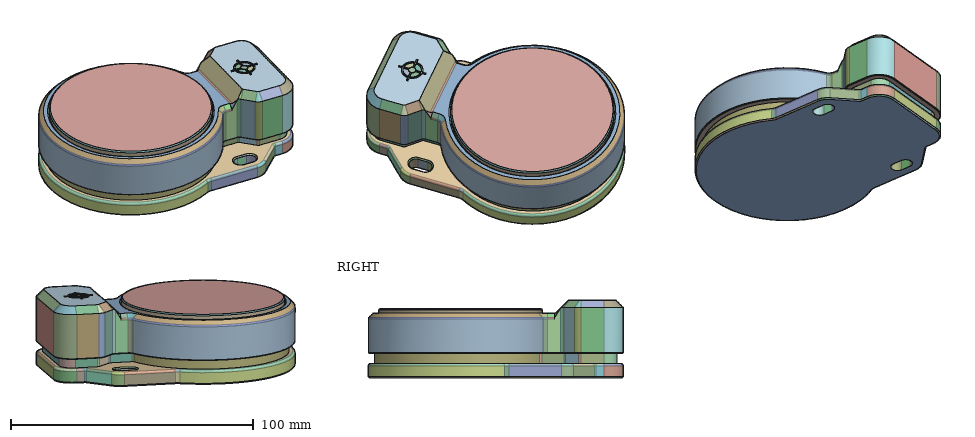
import cadquery as cq
import math

CORNER_TANGENT = math.tan(math.radians(45 / 2))
REACH = 0.1
FAR = 84.0

DRUM_R = 38.0
TOTAL_LENGTH = 105.0
REAR_Y = TOTAL_LENGTH - DRUM_R
HEAD_HALF_W = 22.0
HEAD_CORNER_R = 8.0
HEAD_SHOULDER_Y = 48.0
HEAD_SHOULDER_R = 4.0
HEAD_CHAMFER = 3.0
HEAD_TOP_FRONT_Y = 44.4
NECK_HALF_W = 16.0
NECK_TOP_Y = HEAD_SHOULDER_Y - (HEAD_HALF_W - NECK_HALF_W)
NECK_R = 2.0

BASE_TOP = 6.0
HOUSING_BOTTOM = 10.1
DRUM_TOP = 26.7
DISC_TOP = 28.6
HEAD_TOP = 32.0

DRUM_CHAMFER = 2.0
BLEND_R = 1.0
RAMP_FOOT_Y = HEAD_TOP_FRONT_Y - (HEAD_TOP - DRUM_TOP)
RAMP_START_Y = RAMP_FOOT_Y - BLEND_R * CORNER_TANGENT
NECK_END_Y = NECK_TOP_Y - NECK_R * CORNER_TANGENT
HOUSING_BOTTOM_CHAMFER = 0.3

GASKET_INSET = 2.5
GASKET_INNER_R = 1.0

DISC_R = 33.7
DISC_EDGE_CHAMFER = 0.5
RECESS_DEPTH = 2.0
DISC_BOTTOM = DRUM_TOP - RECESS_DEPTH
RECESS_CHAMFER = 0.6

LUG_HALF_W = 33.0
LUG_SHOULDER_Y = 44.4
LUG_SHOULDER_R = 7.0
LUG_HEAD_R = 1.0
LUG_DRUM_R = 4.0
BASE_TOP_R = 1.0
BASE_BOTTOM_CHAMFER = 0.5
SLOT_X = 26.0
SLOT_Y = 39.4
SLOT_W = 5.6
SLOT_L = 9.8
SLOT_CHAMFER = 0.5

MARK_Y = 52.8
MARK_DEPTH = 0.2
MARK_RING_R = 4.4
MARK_BAR_L = 12.0
MARK_LINE_W = 0.6
MARK_DOT_R = 1.5


def near(x, y):
    """Select the vertical edges at (x, y) and at its mirror image (-x, y)."""
    selector = None
    for side in (-1, 1):
        box = cq.selectors.BoxSelector(
            (side * x - REACH, y - REACH, -FAR), (side * x + REACH, y + REACH, FAR)
        )
        selector = box if selector is None else selector + box
    return selector


def round_corners(body, corners):
    """Round vertical edges, given as (x, y, radius), on both sides of X = 0."""
    for x, y, radius in corners:
        body = body.edges("|Z").edges(near(x, y)).fillet(radius)
    return body


def circle_y(radius, x):
    """Y on the rear half of a circle about the drum axis at the given X."""
    return math.sqrt(radius**2 - x**2)


def prism(points, bottom, top):
    """Straight-sided block, mirrored about X = 0, from its right-hand points."""
    mirrored = [(-x, y) for x, y in reversed(points)]
    outline = cq.Workplane("XY").workplane(offset=bottom).polyline(points + mirrored).close()
    return outline.extrude(top - bottom)


def drum(radius, bottom, top):
    """Upright cylinder on the drum axis."""
    return cq.Workplane("XY").workplane(offset=bottom).circle(radius).extrude(top - bottom)


def housing_blank(bottom, top, inset=0.0, inner_r=NECK_R):
    """Drum, neck and head outline as one rounded prism, optionally set in all round."""
    drum_r = DRUM_R - inset
    neck_x = NECK_HALF_W - inset
    head_x = HEAD_HALF_W - inset
    rear_y = REAR_Y - inset
    neck_y = NECK_TOP_Y + inset * CORNER_TANGENT
    shoulder_y = HEAD_SHOULDER_Y + inset * CORNER_TANGENT
    points = [(neck_x, 0), (neck_x, neck_y), (head_x, shoulder_y), (head_x, rear_y)]
    blank = prism(points, bottom, top).union(drum(drum_r, bottom, top))
    corners = [
        (head_x, rear_y, HEAD_CORNER_R - inset),
        (head_x, shoulder_y, HEAD_SHOULDER_R - inset),
        (neck_x, neck_y, inner_r),
        (neck_x, circle_y(drum_r, neck_x), inner_r),
    ]
    return round_corners(blank, corners)


def above_ramp():
    """Space over the drum and neck, bounded at the rear by the 45 degree ramp."""
    clearance = HEAD_TOP - DRUM_TOP
    profile = [
        (-FAR, DRUM_TOP),
        (RAMP_FOOT_Y, DRUM_TOP),
        (HEAD_TOP_FRONT_Y + clearance, HEAD_TOP + clearance),
        (-FAR, HEAD_TOP + clearance),
    ]
    space = cq.Workplane("YZ").polyline(profile).close().extrude(FAR, both=True)
    foot = cq.selectors.NearestToPointSelector((0, RAMP_FOOT_Y, DRUM_TOP))
    return space.edges("|X").edges(foot).fillet(BLEND_R)


def housing_head():
    """Head with its chamfered top; in front it stops at the neck."""
    front = prism([(FAR, -FAR), (FAR, NECK_END_Y)], 0, FAR)
    head = housing_blank(HOUSING_BOTTOM, HEAD_TOP).faces(">Z").chamfer(HEAD_CHAMFER)
    return head.cut(front).cut(above_ramp())


def drum_and_neck():
    """Drum with the level part of the neck, chamfered along the top."""
    body = prism([(NECK_HALF_W, 0), (NECK_HALF_W, NECK_END_Y)], HOUSING_BOTTOM, DRUM_TOP)
    body = body.union(drum(DRUM_R, HOUSING_BOTTOM, DRUM_TOP))
    body = body.edges("|Z").edges(near(NECK_HALF_W, circle_y(DRUM_R, NECK_HALF_W))).fillet(NECK_R)
    body = body.faces(">Z").edges("not >Y").chamfer(DRUM_CHAMFER)
    chamfer_foot = DRUM_TOP - DRUM_CHAMFER
    rim = cq.selectors.BoxSelector(
        (-FAR, -FAR, chamfer_foot - REACH), (FAR, NECK_END_Y - REACH, chamfer_foot + REACH)
    )
    return body.edges(rim).fillet(BLEND_R)


def neck_ramp():
    """Ramp from the neck up to the head; the neck chamfer runs out to nothing along it."""
    block = prism([(NECK_HALF_W, RAMP_START_Y), (NECK_HALF_W, NECK_END_Y)], HOUSING_BOTTOM, HEAD_TOP)
    ramp = block.cut(above_ramp())
    wall_point = cq.Vector(NECK_HALF_W, RAMP_START_Y, DRUM_TOP - DRUM_CHAMFER)
    top_point = cq.Vector(NECK_HALF_W - DRUM_CHAMFER, RAMP_START_Y, DRUM_TOP)
    end_point = cq.Vector(NECK_HALF_W, NECK_END_Y, DRUM_TOP + NECK_END_Y - RAMP_FOOT_Y)
    outward = (end_point - wall_point).cross(top_point - wall_point)
    facet_plane = cq.Plane(origin=end_point, normal=outward)
    facet_cut = cq.Workplane(facet_plane).rect(HEAD_TOP, HEAD_TOP).extrude(HEAD_TOP)
    return ramp.cut(facet_cut).cut(facet_cut.mirror("YZ"))


def make_mark():
    """Cross-hair with a ring and a centre dot, one connected inlay flush with the head top."""
    plane = cq.Workplane("XY").workplane(offset=HEAD_TOP - MARK_DEPTH).center(0, MARK_Y)
    ring = plane.circle(MARK_RING_R).circle(MARK_RING_R - MARK_LINE_W).extrude(MARK_DEPTH)
    bar_x = plane.rect(MARK_BAR_L, MARK_LINE_W).extrude(MARK_DEPTH)
    bar_y = plane.rect(MARK_LINE_W, MARK_BAR_L).extrude(MARK_DEPTH)
    dot = plane.circle(MARK_DOT_R).extrude(MARK_DEPTH)
    return ring.union(bar_x).union(bar_y).union(dot)


def make_housing():
    """Drum, neck and head with a recess for the disc and a pocket for the mark."""
    housing = drum_and_neck().union(neck_ramp()).union(housing_head())
    housing = housing.faces("<Z").chamfer(HOUSING_BOTTOM_CHAMFER)
    recess = drum(DISC_R, DISC_BOTTOM, HEAD_TOP)
    mouth_r = DISC_R + RECESS_CHAMFER
    mouth = cq.Workplane("XY").workplane(offset=DRUM_TOP).circle(mouth_r)
    mouth = mouth.workplane(offset=-RECESS_CHAMFER).circle(DISC_R).loft(ruled=True)
    return housing.cut(recess).cut(mouth).cut(make_mark())


def make_disc():
    """Round cover seated in the recess of the drum."""
    return drum(DISC_R, DISC_BOTTOM, DISC_TOP).faces(">Z").chamfer(DISC_EDGE_CHAMFER)


def make_gasket():
    """Plate between base and housing that follows the housing outline, set in all round."""
    return housing_blank(BASE_TOP, HOUSING_BOTTOM, GASKET_INSET, GASKET_INNER_R)


def make_base():
    """Base plate with the drum and head outline and a slotted lug on each side."""
    lug_head_y = LUG_SHOULDER_Y + LUG_HALF_W - HEAD_HALF_W
    points = [
        (LUG_HALF_W, 0),
        (LUG_HALF_W, LUG_SHOULDER_Y),
        (HEAD_HALF_W, lug_head_y),
        (HEAD_HALF_W, REAR_Y),
    ]
    base = prism(points, 0, BASE_TOP).union(drum(DRUM_R, 0, BASE_TOP))
    corners = [
        (HEAD_HALF_W, REAR_Y, HEAD_CORNER_R),
        (LUG_HALF_W, LUG_SHOULDER_Y, LUG_SHOULDER_R),
        (HEAD_HALF_W, lug_head_y, LUG_HEAD_R),
        (LUG_HALF_W, circle_y(DRUM_R, LUG_HALF_W), LUG_DRUM_R),
    ]
    base = round_corners(base, corners)
    base = base.faces(">Z").edges().fillet(BASE_TOP_R)
    base = base.faces("<Z").edges().chamfer(BASE_BOTTOM_CHAMFER)
    for side in (-1, 1):
        base = base.cut(slot_cutter(side * SLOT_X))
    return base


def slot_cutter(x):
    """Through slot along Y with a countersunk rim at the top of the base."""
    plane = cq.Workplane("XY").center(x, SLOT_Y)
    slot = plane.slot2D(SLOT_L, SLOT_W, 90).extrude(BASE_TOP)
    rim_grow = 2 * SLOT_CHAMFER
    rim = plane.workplane(offset=BASE_TOP).slot2D(SLOT_L + rim_grow, SLOT_W + rim_grow, 90)
    return slot.union(rim.extrude(-SLOT_CHAMFER, taper=45))


base = make_base()
gasket = make_gasket()
housing = make_housing()
disc = make_disc()
mark = make_mark()

bodies = [base, gasket, housing, disc, mark]
result = cq.Compound.makeCompound([body.solids().val() for body in bodies])